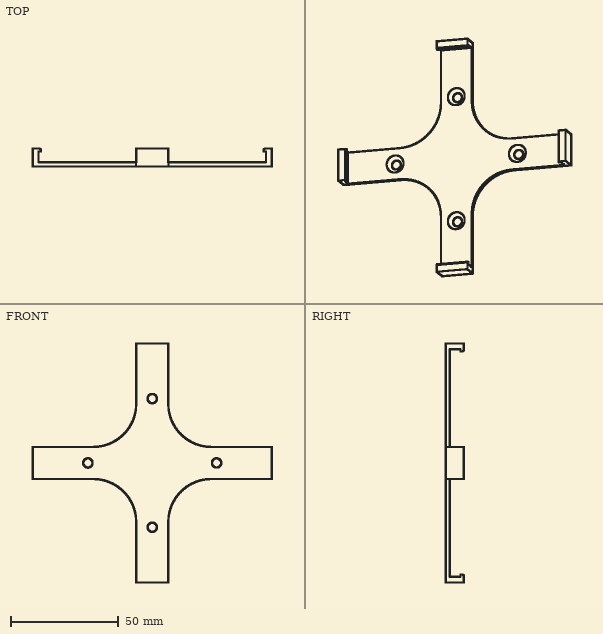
import cadquery as cq

span = 111.5
depth = 8.5
half_span = span / 2
front_y = -depth / 2
back_y = depth / 2

arm_width = 15.0
half_width = arm_width / 2
plate_thickness = 2.0
corner_radius = 20.0
hole_diameter = 4.2
hole_offset = 30.0

wall_thickness = 2.8
lip_reach = 1.0
lip_height = 1.6
lip_chamfer = 0.6

arm_angles = (0, 90, 180, 270)


def make_holes():
    """45 degree cones, one per arm, opening from the hole diameter at the front face."""
    hole_radius = hole_diameter / 2
    cone = cq.Solid.makeCone(
        hole_radius,
        hole_radius + plate_thickness,
        plate_thickness,
        pnt=cq.Vector(hole_offset, front_y, 0),
        dir=cq.Vector(0, 1, 0),
    )
    holes = cq.Workplane("XY")
    for angle in arm_angles:
        holes = holes.add(cone.rotate(cq.Vector(0, 0, 0), cq.Vector(0, 1, 0), angle))
    return holes.combine()


def make_plate():
    """Cross with rounded inner corners and one countersunk hole per arm, widening toward the back."""
    horizontal = cq.Workplane("XY").box(span, plate_thickness, arm_width)
    vertical = cq.Workplane("XY").box(arm_width, plate_thickness, span)
    cross = horizontal.union(vertical)
    inner_corners = cq.selectors.BoxSelector(
        (-arm_width, -depth, -arm_width), (arm_width, depth, arm_width)
    )
    cross = cross.edges("|Y").edges(inner_corners).fillet(corner_radius)
    plate = cross.translate((0, front_y + plate_thickness / 2, 0))
    return plate.cut(make_holes())


def make_hook():
    """End wall of the +X arm, with a chamfered lip pointing back to the centre."""
    inner_x = half_span - wall_thickness
    lip_x = inner_x - lip_reach
    return (
        cq.Workplane("XY")
        .moveTo(half_span, front_y)
        .lineTo(half_span, back_y)
        .lineTo(lip_x + lip_chamfer, back_y)
        .lineTo(lip_x, back_y - lip_chamfer)
        .lineTo(lip_x, back_y - lip_height)
        .lineTo(inner_x, back_y - lip_height)
        .lineTo(inner_x, front_y)
        .close()
        .extrude(half_width, both=True)
    )


result = make_plate()
for angle in arm_angles:
    result = result.union(make_hook().rotate((0, 0, 0), (0, 1, 0), angle))